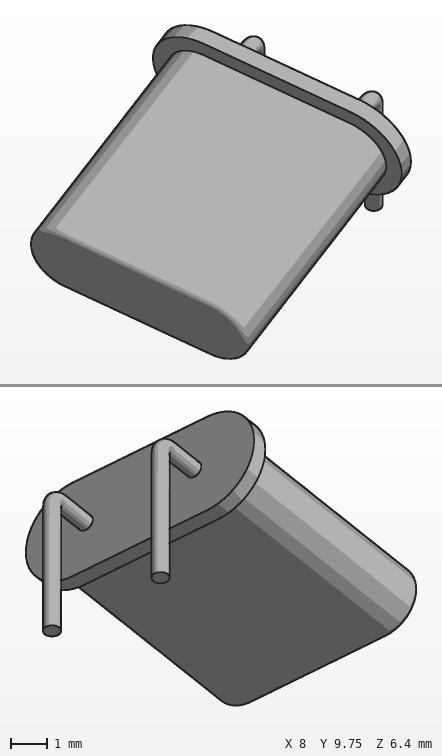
import cadquery as cq

straight_length = 4.7
body_width = 7.0
body_height = body_width - straight_length
body_depth = 7.5
front_fillet = 0.2

flange_width = 8.0
flange_height = flange_width - straight_length
flange_thickness = 0.5

overall_depth = 9.75
overall_height = 6.4
pin_diameter = 0.5
pin_pitch = 3.8
bend_radius = 0.375

flange_back = flange_thickness
pin_drop_y = overall_depth - body_depth - pin_diameter / 2
pin_bottom_z = flange_height / 2 - overall_height


def make_obround(width, height, y_start, depth):
    """Obround plate centred on the Y axis, from y_start towards +Y."""
    plane = cq.Workplane("XZ", origin=(0, y_start, 0))
    return plane.slot2D(width, height).extrude(-depth)


def make_body():
    body = make_obround(body_width, body_height, -body_depth, body_depth)
    return body.faces("<Y").edges().fillet(front_fillet)


def make_pin(x):
    """Round pin leaving the flange along Y and bending down to -Z."""
    bend_start_y = pin_drop_y - bend_radius
    path = (
        cq.Workplane("YZ", origin=(x, 0, 0))
        .moveTo(flange_back, 0)
        .lineTo(bend_start_y, 0)
        .radiusArc((pin_drop_y, -bend_radius), bend_radius)
        .lineTo(pin_drop_y, pin_bottom_z)
    )
    section = cq.Workplane("XZ", origin=(x, flange_back, 0)).circle(pin_diameter / 2)
    return section.sweep(path)


result = make_body().union(make_obround(flange_width, flange_height, 0, flange_thickness))
for side in (-1, 1):
    result = result.union(make_pin(side * pin_pitch / 2))